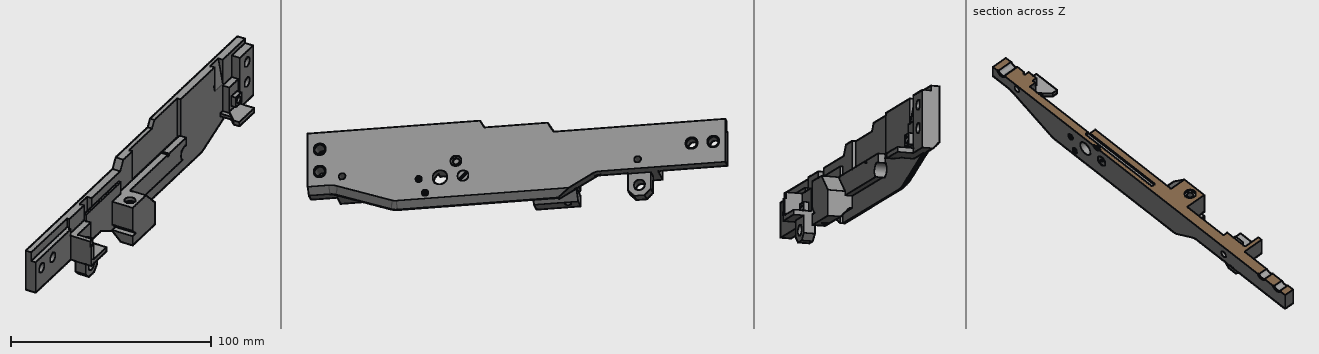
import cadquery as cq

length = 213.0
width = 17.5
plate_top = 44.3

margin = 0.2

plate_thickness = 4.5
middle_top = 40.5
front_top = 35.4
end_bottom = 12.1
belly_bottom = 1.0
belly_start = 85.8
belly_end = 169.5
rear_step = (125.0, 122.7)
front_step = (90.5, 87.3)
ramp_start = 66.0
ramp_end = 200.6
bottom_chamfer = 3.5
ramp_fillet = 9.5
front_ramp_fillet = 6.4

front_thickness = 5.8
front_ledge_top = 30.2
front_step_thickness = 3.2
front_step_end = 36.2

wall_face = 8.3
floor_thickness = 2.5
boss_size = 5.8
boss_length = 2.5
pin_diameter = 3.5

front_bracket_start = 35.4
front_bracket_end = 51.0
front_bracket_top = 26.5
front_bracket_end_wall = 2.5
tip_notch_depth = 0.6
tip_notch_bottom = 23.5
front_pin = (44.7, 17.0)

lug_inner = 6.2
lug_outer = 12.1
lug_start = 39.2
lug_chamfer = 3.2
lug_hole_diameter = 5.5
lug_hole_height = 5.8

middle_bracket_start = 77.0
middle_bracket_end = 99.7
middle_bracket_top = 23.5
middle_ramp_start = 90.5
relief_bottom = 6.5
relief_top = 9.8
underside_chamfer = 5.0
strip_end = 147.0
screw_hole = (12.8, 82.6)
screw_bore = 3.2
screw_head = 5.5
screw_head_depth = 2.1
groove_start = 128.7
groove_width = 1.3
groove_depth = 1.0

rear_bracket_start = 184.5
rear_bracket_end = 199.5
rear_bracket_top = 29.0
hook_tip = 14.3
rear_lip_start = 187.9
rear_lip_face = 10.9
rear_lip_top = 13.8
rear_wall_start = 190.5
rear_pin = (195.3, 19.8)
rear_pad_face = 9.2
rear_pad_top = 41.7

edge_web = 2.0
front_pocket_end = 58.5
middle_web = 2.5
middle_pocket_end = 148.0
middle_pocket_floor = 21.3
wedge_start = 182.3
wedge_bottom = 30.2

mounting_holes = [(6.2, 23.6), (17.3, 23.6), (206.8, 23.5), (206.8, 35.4)]
mounting_bore = 5.1
mounting_mouth = 6.2
mounting_mouth_depth = 0.5
pivot = (145.5, 15.3)
pivot_diameter = 7.5

stepped_holes = [((137.4, 23.6), 5.5, 3.5), ((156.3, 15.3), 3.2, 1.5), ((153.1, 7.7), 3.2, 1.5)]
stepped_mouth_depth = 0.6
stepped_hole_depth = 1.7
slotted_recess = (133.8, 15.3)
recess_diameter = 5.5
recess_depth = 0.2
slot_length = 3.8
slot_width = 0.9
slot_depth = 0.9
slot_angle = -45


def box(x0, x1, y0, y1, z0, z1):
    """Axis-aligned block between two corners."""
    return cq.Workplane("XY").box(x1 - x0, y1 - y0, z1 - z0, centered=False).translate((x0, y0, z0))


def extrude_side(points, x0, x1):
    """Outline given as (Y, Z) points, extruded from x0 to x1."""
    return cq.Workplane("YZ", origin=(x0, 0, 0)).polyline(points).close().extrude(x1 - x0)


def pin(center, diameter, x0, x1):
    """Cylinder along X, centred on a (Y, Z) point."""
    return cq.Workplane("YZ", origin=(x0, 0, 0)).center(*center).circle(diameter / 2).extrude(x1 - x0)


def make_boss(center):
    """Square boss on the bracket wall, around a pin hole."""
    blank = cq.Workplane("YZ", origin=(wall_face, 0, 0)).center(*center)
    return blank.rect(boss_size, boss_size).extrude(boss_length)


def make_plate():
    outline = [
        (0, end_bottom), (ramp_start, end_bottom), (belly_start, belly_bottom),
        (belly_end, belly_bottom), (ramp_end, end_bottom),
        (length, end_bottom), (length, plate_top), (rear_step[0], plate_top),
        (rear_step[1], middle_top), (front_step[0], middle_top), (front_step[1], front_top), (0, front_top),
    ]
    body = extrude_side(outline, 0, plate_thickness)
    for point, radius in (
        ((ramp_start, end_bottom), front_ramp_fillet),
        ((belly_end, belly_bottom), ramp_fillet),
        ((ramp_end, end_bottom), ramp_fillet),
    ):
        corner = cq.selectors.NearestToPointSelector((plate_thickness / 2, *point))
        body = body.edges(corner).fillet(radius)
    lower_edges = cq.selectors.BoxSelector(
        (-margin, belly_start, 0), (margin, length, end_bottom + margin),
    )
    body = body.edges(lower_edges).chamfer(bottom_chamfer)
    return body


def make_front_ledge():
    outline = [
        (0, end_bottom), (ramp_start, end_bottom), (belly_start, belly_bottom),
        (belly_start, front_ledge_top), (0, front_ledge_top),
    ]
    ledge = extrude_side(outline, plate_thickness, front_thickness)
    bracket_gap = box(
        plate_thickness, front_thickness, front_bracket_start, front_bracket_end,
        front_bracket_top, front_ledge_top,
    )
    return ledge.cut(bracket_gap)


def make_front_bracket():
    block = box(plate_thickness, width, front_bracket_start, front_bracket_end, end_bottom, front_bracket_top)
    tray = box(
        wall_face, width, front_bracket_start + front_bracket_end_wall, front_bracket_end,
        end_bottom + floor_thickness, front_bracket_top,
    )
    tip_notch = box(
        width - tip_notch_depth, width, front_bracket_start, front_bracket_end, tip_notch_bottom,
        front_bracket_top,
    )
    lug_outline = [
        (lug_start, end_bottom), (lug_start, lug_chamfer), (lug_start + lug_chamfer, 0),
        (front_bracket_end - lug_chamfer, 0), (front_bracket_end, lug_chamfer),
        (front_bracket_end, end_bottom),
    ]
    lug = extrude_side(lug_outline, lug_inner, lug_outer)
    lug_center = ((lug_start + front_bracket_end) / 2, lug_hole_height)
    lug = lug.cut(pin(lug_center, lug_hole_diameter, lug_inner, lug_outer))
    boss = make_boss(front_pin)
    return block.cut(tray).cut(tip_notch).union(lug).union(boss)


def make_middle_bracket():
    ramp_drop = middle_bracket_end - middle_ramp_start
    profile = [
        (middle_bracket_start, belly_bottom), (middle_bracket_end, belly_bottom),
        (middle_bracket_end, middle_bracket_top - ramp_drop),
        (middle_ramp_start, middle_bracket_top), (middle_bracket_start, middle_bracket_top),
        (middle_bracket_start, relief_top),
        (middle_bracket_start + relief_top - relief_bottom, relief_bottom),
        (middle_bracket_start, relief_bottom),
    ]
    block = extrude_side(profile, plate_thickness, width)
    underside = (
        cq.Workplane("XZ", origin=(0, middle_bracket_end, 0))
        .polyline([
            (plate_thickness, belly_bottom), (plate_thickness, belly_bottom + underside_chamfer),
            (front_thickness, belly_bottom + underside_chamfer),
            (front_thickness + underside_chamfer, belly_bottom),
        ])
        .close()
        .extrude(middle_bracket_end - middle_bracket_start)
    )
    hole = cq.Workplane("XY", origin=(*screw_hole, middle_bracket_top))
    bore = hole.circle(screw_bore / 2).extrude(belly_bottom - middle_bracket_top)
    counterbore = hole.circle(screw_head / 2).extrude(-screw_head_depth)
    strip = box(plate_thickness, wall_face, middle_ramp_start, strip_end, end_bottom, middle_bracket_top)
    groove = box(
        plate_thickness, wall_face, groove_start, groove_start + groove_width,
        middle_bracket_top - groove_depth, middle_bracket_top,
    )
    return block.cut(underside).cut(bore).cut(counterbore).union(strip.cut(groove))


def make_rear_bracket():
    hook = (
        cq.Workplane("XY", origin=(0, 0, end_bottom))
        .polyline([
            (plate_thickness, rear_bracket_end), (width, rear_bracket_end), (width, rear_bracket_start),
            (hook_tip, rear_bracket_start), (wall_face, rear_wall_start), (plate_thickness, rear_wall_start),
        ])
        .close()
        .extrude(floor_thickness)
    )
    lip = box(plate_thickness, rear_lip_face, rear_lip_start, rear_wall_start, end_bottom, rear_lip_top)
    wall = box(plate_thickness, wall_face, rear_wall_start, rear_bracket_end, end_bottom, rear_bracket_top)
    boss = make_boss(rear_pin)
    pad = box(plate_thickness, rear_pad_face, rear_bracket_end, length, end_bottom, rear_pad_top)
    return hook.union(lip).union(wall).union(boss).union(pad)


body = make_plate()

for start, end, web, floor in (
    (front_bracket_end, front_pocket_end, edge_web, front_bracket_top),
    (middle_bracket_end, middle_pocket_end, middle_web, middle_pocket_floor),
):
    body = body.cut(box(web, plate_thickness, start, end, floor, plate_top))

wedge = (
    cq.Workplane("XZ", origin=(0, rear_wall_start, 0))
    .polyline([(edge_web, plate_top), (plate_thickness, plate_top), (plate_thickness, wedge_bottom)])
    .close()
    .extrude(rear_wall_start - wedge_start)
)
body = body.cut(wedge)

body = body.cut(box(front_step_thickness, plate_thickness, 0, front_step_end, front_ledge_top, front_top))

for piece in (make_front_ledge(), make_front_bracket(), make_middle_bracket(), make_rear_bracket()):
    body = body.union(piece)

for center in mounting_holes:
    body = body.cut(pin(center, mounting_bore, 0, width))
    body = body.cut(pin(center, mounting_mouth, 0, mounting_mouth_depth))

for center, diameter in ((front_pin, pin_diameter), (rear_pin, pin_diameter), (pivot, pivot_diameter)):
    body = body.cut(pin(center, diameter, 0, width))

for center, mouth, bore in stepped_holes:
    body = body.cut(pin(center, mouth, 0, stepped_mouth_depth))
    body = body.cut(pin(center, bore, 0, stepped_hole_depth))

body = body.cut(pin(slotted_recess, recess_diameter, 0, recess_depth))
slot = (
    cq.Workplane("YZ")
    .center(*slotted_recess)
    .transformed(rotate=(0, 0, slot_angle))
    .rect(slot_length, slot_width)
    .extrude(slot_depth)
)
result = body.cut(slot)